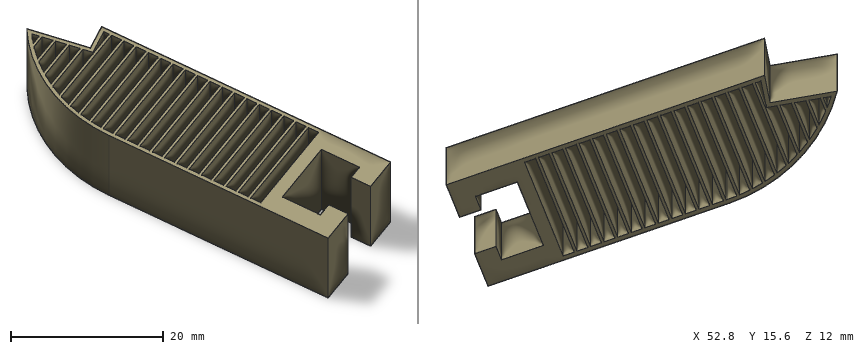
import cadquery as cq
import math

length = 52.8
width = 15.6
height = 12.0

tip_y = 10.1
flank_end_x = 18.95
notch_angle = math.radians(10)
notch_floor = 9.0

rib_thickness = 0.4
wall = 1.5 * rib_thickness
first_rib_x = 2.05
rib_pitch = 1.9
rib_count = 21

channel_wall = 1.9
channel_depth = 5.85
channel_width = 9.7
lip_length = 3.0
mouth_width = 5.6

channel_x = length - lip_length - channel_depth
cavity_end_x = channel_x - channel_wall

flank_radius = (flank_end_x**2 + tip_y**2) / (2 * tip_y)

notch_x = notch_floor * math.cos(notch_angle)
notch_y = tip_y + notch_floor * math.sin(notch_angle)


def flank_point(inset, turn):
    """Point on the inset flank, turned by an angle from its tangent end towards the tip."""
    radius = flank_radius - inset
    x = flank_end_x - radius * math.sin(turn)
    y = flank_radius - radius * math.cos(turn)
    return x, y


def profile(inset):
    """Closed outline of the part, moved inwards by the inset on every side."""
    corner_x = notch_x + inset * (math.cos(notch_angle) + math.sin(notch_angle))
    corner_y = notch_y + inset * (math.sin(notch_angle) - math.cos(notch_angle))
    top_y = width - inset
    shoulder_x = corner_x - (top_y - corner_y) * math.tan(notch_angle)

    centre_to_floor = (
        (flank_radius - corner_y) * math.cos(notch_angle)
        - (flank_end_x - corner_x) * math.sin(notch_angle)
    )
    tip_turn = math.acos(centre_to_floor / (flank_radius - inset)) - notch_angle

    return (
        cq.Workplane("XY")
        .moveTo(*flank_point(inset, tip_turn))
        .threePointArc(flank_point(inset, tip_turn / 2), flank_point(inset, 0))
        .lineTo(length - inset, inset)
        .lineTo(length - inset, top_y)
        .lineTo(shoulder_x, top_y)
        .lineTo(corner_x, corner_y)
        .close()
    )


def block(x_start, x_size, y_size):
    """Full-height block centred across the width of the part."""
    return (
        cq.Workplane("XY")
        .box(x_size, y_size, height, centered=(False, True, False))
        .translate((x_start, width / 2, 0))
    )


def ribbed_cavity():
    """Through cavity with an even wall all round, split into cells by the ribs."""
    cavity = profile(wall).extrude(height)
    cavity = cavity.intersect(block(0, cavity_end_x, width))
    for index in range(rib_count):
        rib_x = first_rib_x + index * rib_pitch
        cavity = cavity.cut(block(rib_x, rib_thickness, width))
    return cavity


def channel():
    """Wide slot behind two lips, with a narrower mouth between them."""
    slot = block(channel_x, channel_depth, channel_width)
    mouth = block(channel_x, channel_depth + lip_length, mouth_width)
    return slot.union(mouth)


result = profile(0).extrude(height).cut(ribbed_cavity()).cut(channel())